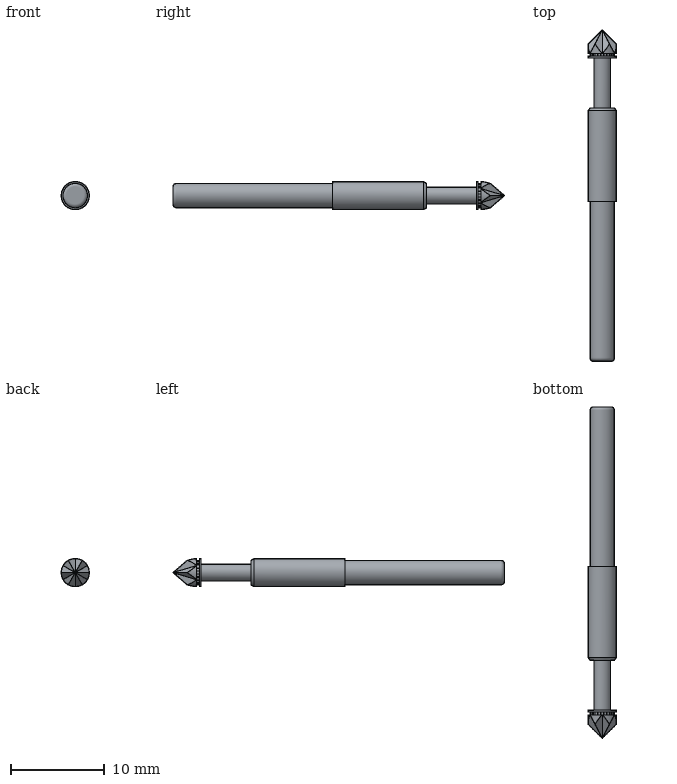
import cadquery as cq
import math

total_length = 35.3
tip_y = total_length / 2

head_radius = 1.5
neck_radius = 0.9
collar_radius = head_radius
barrel_radius = 1.3
groove_radius = 1.15
rib_radius = 1.3

head_length = 2.5
flange_start = 2.8
flange_end = 3.0
collar_start = 8.3
collar_end = 18.3

collar_chamfer_width = 0.2
collar_chamfer_length = 0.3
rear_fillet = 0.36

rib_count = 12
rib_angle = 180 / rib_count

ridge_count = 6
ridge_height = head_radius
valley_height = head_length


def rod(radius, start, end):
    """Cylinder along Y between two distances behind the tip."""
    return (
        cq.Workplane("XZ", origin=(0, tip_y - start, 0))
        .circle(radius)
        .extrude(end - start)
    )


def star_point(radius_slope, angle_index, depth):
    """Point on a ridge (even index) or valley (odd index), at a distance behind the tip."""
    angle = angle_index * math.pi / ridge_count
    radius = radius_slope * depth
    return cq.Vector(radius * math.cos(angle), tip_y - depth, radius * math.sin(angle))


def triangle(a, b, c):
    return cq.Face.makeFromWires(cq.Wire.makePolygon([a, b, c], close=True))


def star_pyramid():
    """Six-ridged pyramid with its apex at the tip, reaching back to the end of the head."""
    slopes = [head_radius / ridge_height, head_radius / valley_height]
    apex = cq.Vector(0, tip_y, 0)
    base = [star_point(slopes[i % 2], i, head_length) for i in range(2 * ridge_count)]
    faces = [triangle(apex, base[i - 1], base[i]) for i in range(len(base))]
    faces.append(cq.Face.makeFromWires(cq.Wire.makePolygon(base, close=True)))
    return cq.Workplane(cq.Solid.makeSolid(cq.Shell.makeShell(faces)))


def groove_rib(index):
    """One axial rib in the groove; rib 0 is on the +X axis."""
    half_width = head_radius * math.tan(math.radians(rib_angle / 2))
    wedge = (
        cq.Workplane("XZ", origin=(0, tip_y - head_length, 0))
        .polyline([(0, 0), (head_radius, -half_width), (head_radius, half_width)])
        .close()
        .extrude(flange_start - head_length)
        .rotate((0, 0, 0), (0, 1, 0), index * 360 / rib_count)
    )
    return rod(rib_radius, head_length, flange_start).intersect(wedge)


def head():
    point = rod(head_radius, 0, head_length).intersect(star_pyramid())
    groove = rod(groove_radius, head_length, flange_start)
    flange = rod(head_radius, flange_start, flange_end)
    body = point.union(groove).union(flange)
    for index in range(rib_count):
        body = body.union(groove_rib(index))
    return body


def collar():
    profile = [
        (0, tip_y - collar_start),
        (collar_radius - collar_chamfer_width, tip_y - collar_start),
        (collar_radius, tip_y - collar_start - collar_chamfer_length),
        (collar_radius, tip_y - collar_end),
        (0, tip_y - collar_end),
    ]
    return cq.Workplane("XY").polyline(profile).close().revolve(360, (0, 0), (0, 1))


def barrel():
    return rod(barrel_radius, collar_end, total_length).faces("<Y").edges().fillet(rear_fillet)


neck = rod(neck_radius, flange_end, collar_start)

result = head().union(neck).union(collar()).union(barrel())